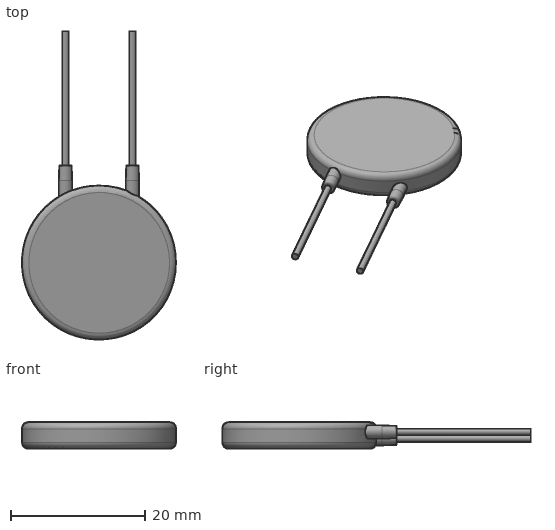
import cadquery as cq

disc_diameter = 23.0
disc_thickness = 4.0
rim_fillet = 1.0

lead_spacing = 10.0
lead_height_offset = 0.5
wire_diameter = 1.0
wire_end = 34.5

sleeve_base_diameter = 2.02
sleeve_tip_diameter = 1.9
sleeve_start = 7.8
sleeve_taper_start = 12.3
sleeve_end = 14.5
sleeve_tip_fillet = 0.15


def make_disc():
    disc = cq.Workplane("XY").circle(disc_diameter / 2).extrude(disc_thickness / 2, both=True)
    return disc.faces("|Z").edges().fillet(rim_fillet)


def make_lead(x, z):
    """Stepped round lead along +Y: straight sleeve, slightly tapered sleeve tip, wire."""
    base_radius = sleeve_base_diameter / 2
    tip_radius = sleeve_tip_diameter / 2
    wire_radius = wire_diameter / 2
    sleeve = (
        cq.Workplane("XY")
        .moveTo(0, sleeve_start)
        .lineTo(base_radius, sleeve_start)
        .lineTo(base_radius, sleeve_taper_start)
        .lineTo(tip_radius, sleeve_end)
        .lineTo(0, sleeve_end)
        .close()
        .revolve(360, (0, 0, 0), (0, 1, 0))
        .faces(">Y")
        .edges()
        .fillet(sleeve_tip_fillet)
    )
    wire = (
        cq.Workplane("XZ", origin=(0, sleeve_start, 0))
        .circle(wire_radius)
        .extrude(sleeve_start - wire_end)
    )
    return sleeve.union(wire).translate((x, 0, z))


result = make_disc()
for side in (-1, 1):
    result = result.union(make_lead(side * lead_spacing / 2, side * lead_height_offset))